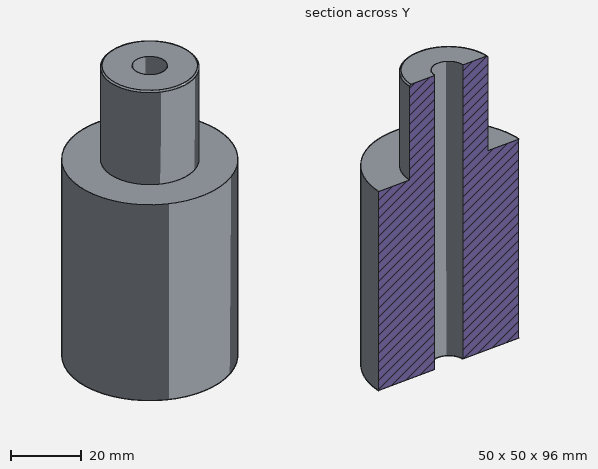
import cadquery as cq

total_height = 96.0
body_diameter = 50.0
shank_diameter = 28.0
shank_height = 31.0
bore_diameter = 10.0
rim_chamfer = 0.5

body_height = total_height - shank_height

body = cq.Workplane("XY").circle(body_diameter / 2).extrude(body_height)

shank = (
    cq.Workplane("XY", origin=(0, 0, body_height))
    .circle(shank_diameter / 2)
    .extrude(shank_height)
    .faces(">Z")
    .edges()
    .chamfer(rim_chamfer)
)

bore = cq.Workplane("XY").circle(bore_diameter / 2).extrude(total_height)

result = body.union(shank).cut(bore)